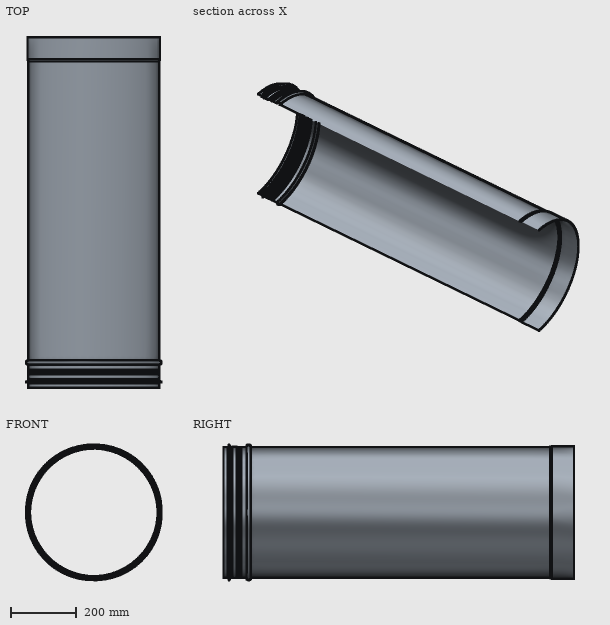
import cadquery as cq

length = 1070.0
pipe_outer_r = 400.6 / 2
wall = 1.8
pipe_inner_r = pipe_outer_r - wall

bead_y = 77.0
bead_r = 7.0
bead_bore_r = bead_r - wall

groove_y = 51.8
groove_r = 1.8
groove_back_r = groove_r + wall

channel_depth = 4.0
channel_floor_r = pipe_outer_r - channel_depth
channel_back_r = channel_floor_r - wall

ring_start = 27.4
ring_end = 40.5
ring_slope = 3.2
ring_floor_start = ring_start + ring_slope
ring_floor_end = ring_end - ring_slope
ring_back_offset = wall / 2
ring_outer_r = 401.6 / 2

seal_start = 14.5
seal_end = 21.0

lip_outer_r = pipe_outer_r + bead_r
lip_tip_start = 16.8
lip_tip_end = 17.8

socket_inner_r = 401.6 / 2
socket_outer_r = socket_inner_r + wall
socket_start = length - 67.0
socket_taper_start = socket_start - 7.0


def turned(outline):
    """Close a half section drawn on the -X side and revolve it about the Y axis."""
    return outline.close().revolve(360, (0, 0, 0), (0, 1, 0))


def make_pipe():
    """Tube wall drawn up its outer side and back down its inner side."""
    outer_r = pipe_outer_r
    inner_r = pipe_inner_r
    outline = (
        cq.Workplane("XY")
        .moveTo(-outer_r, 0)
        .lineTo(-outer_r, seal_start)
        .lineTo(-channel_floor_r, seal_start)
        .lineTo(-channel_floor_r, seal_end)
        .lineTo(-outer_r, seal_end)
        .lineTo(-outer_r, ring_start)
        .lineTo(-channel_floor_r, ring_floor_start)
        .lineTo(-channel_floor_r, ring_floor_end)
        .lineTo(-outer_r, ring_end)
        .lineTo(-outer_r, groove_y - groove_r)
        .threePointArc((-outer_r + groove_r, groove_y), (-outer_r, groove_y + groove_r))
        .lineTo(-outer_r, bead_y - bead_r)
        .threePointArc((-outer_r - bead_r, bead_y), (-outer_r, bead_y + bead_r))
        .lineTo(-outer_r, socket_taper_start)
        .lineTo(-socket_outer_r, socket_start)
        .lineTo(-socket_outer_r, length)
        .lineTo(-socket_inner_r, length)
        .lineTo(-socket_inner_r, socket_start)
        .lineTo(-inner_r, socket_taper_start)
        .lineTo(-inner_r, bead_y + bead_bore_r)
        .threePointArc((-inner_r - bead_r, bead_y), (-inner_r, bead_y - bead_bore_r))
        .lineTo(-inner_r, groove_y + groove_back_r)
        .threePointArc((-inner_r + groove_r, groove_y), (-inner_r, groove_y - groove_back_r))
        .lineTo(-inner_r, ring_end + ring_back_offset)
        .lineTo(-channel_back_r, ring_floor_end + ring_back_offset)
        .lineTo(-channel_back_r, ring_floor_start - ring_back_offset)
        .lineTo(-inner_r, ring_start - ring_back_offset)
        .lineTo(-inner_r, seal_end + wall)
        .lineTo(-channel_back_r, seal_end + wall)
        .lineTo(-channel_back_r, seal_start - wall)
        .lineTo(-inner_r, seal_start - wall)
        .lineTo(-inner_r, 0)
    )
    return turned(outline)


def make_seal():
    """Seal that fills the square channel and rises to its pointed lip."""
    outline = (
        cq.Workplane("XY")
        .moveTo(-channel_floor_r, seal_start)
        .lineTo(-pipe_outer_r, seal_start)
        .lineTo(-lip_outer_r, lip_tip_start)
        .lineTo(-lip_outer_r, lip_tip_end)
        .lineTo(-pipe_outer_r, seal_end)
        .lineTo(-channel_floor_r, seal_end)
    )
    return turned(outline)


def make_ring():
    """Ring that fills the sloping channel and stands slightly proud of the pipe."""
    outline = (
        cq.Workplane("XY")
        .moveTo(-channel_floor_r, ring_floor_start)
        .lineTo(-pipe_outer_r, ring_start)
        .lineTo(-ring_outer_r, ring_floor_start)
        .lineTo(-ring_outer_r, ring_floor_end)
        .lineTo(-pipe_outer_r, ring_end)
        .lineTo(-channel_floor_r, ring_floor_end)
    )
    return turned(outline)


pipe = make_pipe()
seal = make_seal()
ring = make_ring()

result = cq.Compound.makeCompound([pipe.val(), seal.val(), ring.val()])